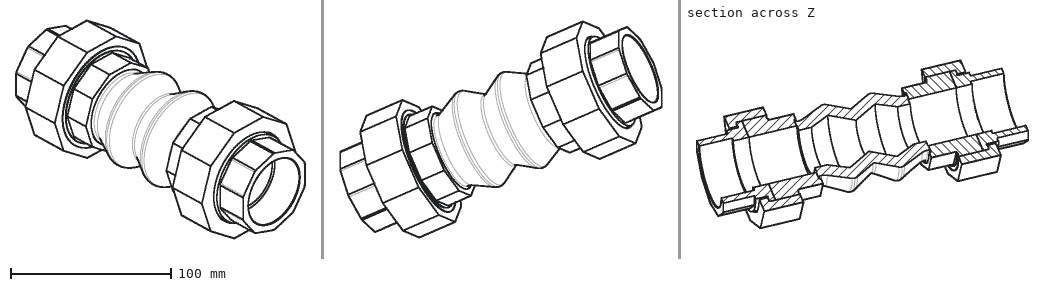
import cadquery as cq
import math

LENGTH = 200.0
HALF_LENGTH = LENGTH / 2
SIDES = 10
SOCKET_LENGTH = 20.5
NUT_START = 22.5
NUT_END = 48.2
LIP_THICKNESS = 5.8
FLANGE_THICKNESS = 4.0
ADAPTER_END = 64.5
FLANGE_START = NUT_START + LIP_THICKNESS
JOINT = FLANGE_START + FLANGE_THICKNESS

NUT_FLAT_RADIUS = 79.0 / 2
LIP_RADIUS = 31.0
THREAD_RADIUS = 34.5

SOCKET_FLAT_RADIUS = 27.5
SOCKET_CORNER_CUT = 28.5
COLLAR_RADIUS = 30.2
PIPE_RADIUS = 22.5
PIPE_DEPTH = 21.8
MOUTH_CHAMFER = 0.5
PASSAGE_RADIUS = 20.2

ADAPTER_FLAT_RADIUS = 29.0
SHOULDER_RADIUS = 31.5
THREAD_SETBACK = 0.5

CREST_RADIUS = 32.5
ROOT_RADIUS = 24.0
CREST_ROUND = 3.5
ROOT_ROUND = 1.8
NECK_ROUND = 8.0
INNER_SLOPE = math.radians(31)
OUTER_SLOPE = math.radians(27)
END_FLARE = 1.8
BELLOWS_MOUTH = 16.2
BELLOWS_THROAT = 13.5


def flank_run(slope, low_round):
    """Axial distance from a crest to the bottom of a round, joined by a tangent flank."""
    rounds = CREST_ROUND + low_round
    straight_rise = CREST_RADIUS - ROOT_RADIUS - rounds * (1 - math.cos(slope))
    return rounds * math.sin(slope) + straight_rise / math.tan(slope)


CREST_X = flank_run(INNER_SLOPE, ROOT_ROUND)
NECK_X = CREST_X + flank_run(OUTER_SLOPE, NECK_ROUND)
BELLOWS_HALF = NECK_X + END_FLARE
INNER_CREST_RADIUS = BELLOWS_THROAT + CREST_X * math.tan(INNER_SLOPE)
INNER_NECK_X = CREST_X + (INNER_CREST_RADIUS - BELLOWS_MOUTH) / math.tan(OUTER_SLOPE)
RECESS_FLOOR = HALF_LENGTH - BELLOWS_HALF


def decagon(flat_radius, start, end, turn=0.0):
    """Decagonal prism along X; unturned, its corners point along Y."""
    corner_radius = flat_radius / math.cos(math.pi / SIDES)
    prism = (
        cq.Workplane("YZ")
        .workplane(offset=start)
        .polygon(SIDES, 2 * corner_radius)
        .extrude(end - start)
    )
    return prism.rotate((0, 0, 0), (1, 0, 0), turn)


def cylinder(radius, start, end):
    return cq.Workplane("YZ").workplane(offset=start).circle(radius).extrude(end - start)


def make_nut():
    nut = decagon(NUT_FLAT_RADIUS, NUT_START, NUT_END)
    nut = nut.cut(cylinder(LIP_RADIUS, NUT_START, FLANGE_START))
    return nut.cut(cylinder(THREAD_RADIUS, FLANGE_START, NUT_END))


def make_socket():
    half_turn = 180 / SIDES
    grip = decagon(SOCKET_FLAT_RADIUS, 0, SOCKET_LENGTH, half_turn)
    grip = grip.intersect(decagon(SOCKET_CORNER_CUT, 0, SOCKET_LENGTH))
    collar = cylinder(COLLAR_RADIUS, SOCKET_LENGTH, FLANGE_START)
    flange = cylinder(THREAD_RADIUS, FLANGE_START, JOINT)
    socket = grip.union(collar).union(flange)
    socket = socket.cut(cylinder(PASSAGE_RADIUS, 0, JOINT))
    socket = socket.cut(cylinder(PIPE_RADIUS, 0, PIPE_DEPTH))
    return socket.faces("<X").edges("%CIRCLE").chamfer(MOUTH_CHAMFER)


def make_adapter():
    thread_end = NUT_END - THREAD_SETBACK
    adapter = (
        cylinder(THREAD_RADIUS, JOINT, thread_end)
        .union(cylinder(SHOULDER_RADIUS, thread_end, NUT_END))
        .union(decagon(ADAPTER_FLAT_RADIUS, NUT_END, ADAPTER_END))
    )
    adapter = adapter.cut(cylinder(PASSAGE_RADIUS, JOINT, ADAPTER_END))
    return adapter.cut(cylinder(ROOT_RADIUS + END_FLARE, RECESS_FLOOR, ADAPTER_END))


def on_crest(crest_x, angle):
    return (
        crest_x + CREST_ROUND * math.sin(angle),
        CREST_RADIUS - CREST_ROUND * (1 - math.cos(angle)),
    )


def on_low_round(bottom_x, low_round, angle):
    return (
        bottom_x + low_round * math.sin(angle),
        ROOT_RADIUS + low_round * (1 - math.cos(angle)),
    )


def on_flare(side):
    """Middle of the concave quarter round at one end; side is -1 or 1."""
    lift = END_FLARE * math.sin(math.pi / 4)
    return (side * (NECK_X + lift), ROOT_RADIUS + END_FLARE - lift)


def add_crest(outline, crest_x, rising_slope, falling_slope):
    """Rising flank of a corrugation and the two arcs that meet at its top."""
    return (
        outline.lineTo(*on_crest(crest_x, -rising_slope))
        .threePointArc(on_crest(crest_x, -rising_slope / 2), on_crest(crest_x, 0))
        .threePointArc(on_crest(crest_x, falling_slope / 2), on_crest(crest_x, falling_slope))
    )


def make_bellows():
    outline = (
        cq.Workplane("XY")
        .moveTo(-BELLOWS_HALF, BELLOWS_MOUTH)
        .lineTo(-BELLOWS_HALF, ROOT_RADIUS + END_FLARE)
        .threePointArc(on_flare(-1), (-NECK_X, ROOT_RADIUS))
        .threePointArc(
            on_low_round(-NECK_X, NECK_ROUND, OUTER_SLOPE / 2),
            on_low_round(-NECK_X, NECK_ROUND, OUTER_SLOPE),
        )
    )
    outline = add_crest(outline, -CREST_X, OUTER_SLOPE, INNER_SLOPE)
    outline = outline.lineTo(*on_low_round(0, ROOT_ROUND, -INNER_SLOPE)).threePointArc(
        (0, ROOT_RADIUS),
        on_low_round(0, ROOT_ROUND, INNER_SLOPE),
    )
    outline = add_crest(outline, CREST_X, INNER_SLOPE, OUTER_SLOPE)
    outline = (
        outline.lineTo(*on_low_round(NECK_X, NECK_ROUND, -OUTER_SLOPE))
        .threePointArc(
            on_low_round(NECK_X, NECK_ROUND, -OUTER_SLOPE / 2),
            (NECK_X, ROOT_RADIUS),
        )
        .threePointArc(on_flare(1), (BELLOWS_HALF, ROOT_RADIUS + END_FLARE))
        .lineTo(BELLOWS_HALF, BELLOWS_MOUTH)
        .lineTo(INNER_NECK_X, BELLOWS_MOUTH)
        .lineTo(CREST_X, INNER_CREST_RADIUS)
        .lineTo(0, BELLOWS_THROAT)
        .lineTo(-CREST_X, INNER_CREST_RADIUS)
        .lineTo(-INNER_NECK_X, BELLOWS_MOUTH)
        .close()
    )
    return outline.revolve(360, (0, 0, 0), (1, 0, 0))


def both_ends(body):
    """The body placed at the -X end and its mirror image at the +X end."""
    left = body.translate((-HALF_LENGTH, 0, 0))
    return [left.val(), left.mirror("YZ").val()]


nuts = both_ends(make_nut())
sockets = both_ends(make_socket())
adapters = both_ends(make_adapter())
bellows = make_bellows()

result = cq.Compound.makeCompound([*nuts, *sockets, *adapters, bellows.val()])